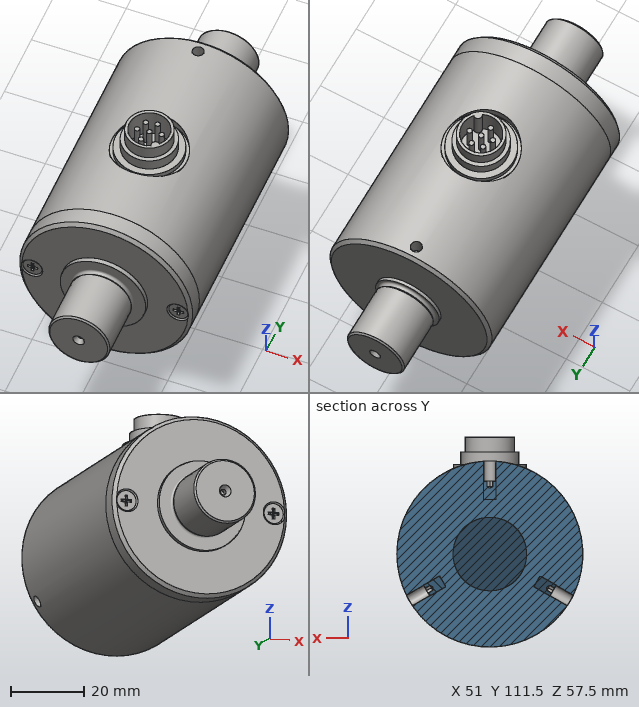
import cadquery as cq
import math


total_length = 111.5
connector_to_rear_tip = 59.1
journal_length = 16.5
undercut_length = 1.5
rear_collar_length = 1.0
front_collar_length = 1.4
cover_thickness = 6.0

rear_tip_y = connector_to_rear_tip
front_tip_y = rear_tip_y - total_length
shoulder_from_tip = journal_length + undercut_length
rear_shoulder_y = rear_tip_y - shoulder_from_tip
front_shoulder_y = front_tip_y + shoulder_from_tip
housing_rear_y = rear_shoulder_y - rear_collar_length
cover_front_y = front_shoulder_y + front_collar_length
seam_y = cover_front_y + cover_thickness

body_diameter = 51.0
body_radius = body_diameter / 2
body_chamfer = 1.0

journal_radius = 18.0 / 2
rear_collar_radius = 20.0 / 2
front_collar_radius = 25.2 / 2
neck_radius = 17.4 / 2
undercut_fillet = 0.6
undercut_taper_length = 0.4
tip_chamfer = 0.5

centre_mouth_diameter = 3.35
centre_pilot_diameter = 1.6
centre_pilot_depth = 3.2
centre_cone_angle = 60.0
drill_point_angle = 120.0

connector_top_z = 32.0
collar_top_z = 28.0
flange_top_z = 24.6
seat_z = 23.0
spigot_bottom_z = 20.0
seat_diameter = 22.0
flange_diameter = 20.0
collar_diameter = 16.0
spigot_diameter = 15.0
mouth_diameter = 13.6
socket_diameter = 11.8
socket_depth = 8.6
key_diameter = 2.39
key_angle = -52.0

pin_diameter = 1.5
pin_circle_radius = 3.5
pin_recess = 1.0
pin_angles_from_key = (57, 123, 180, 237, 303)

screw_offset = 21.5
screw_head_diameter = 5.6
screw_diameter = 3.0
screw_length = 12.0
screw_clearance_diameter = 3.4
screw_mouth_diameter = 6.4
countersink_angle = 90.0
screw_recess = (screw_mouth_diameter - screw_head_diameter) / 2
cross_length = 3.0
cross_width = 0.7
cross_depth = 1.2
cross_core_diameter = 1.2
cross_core_depth = 1.8

set_screw_count = 3
set_screw_y = housing_rear_y - 4.0
set_screw_diameter = 3.24
set_screw_top_radius = 20.0
set_screw_length = 5.0
hex_across_flats = 1.5
hex_depth = 1.5
set_screw_tip_radius = set_screw_top_radius - set_screw_length


def cylinder_y(radius, y_from, y_to):
    """Cylinder on the shaft axis, from y_from rearwards to y_to."""
    base = cq.Workplane("XZ", origin=(0, y_from, 0))
    return base.circle(radius).extrude(y_from - y_to)


def cylinder_z(diameter, z_from, z_to):
    """Upright cylinder on the connector axis."""
    return cq.Workplane("XY", origin=(0, 0, z_from)).circle(diameter / 2).extrude(z_to - z_from)


def cone_height(large_diameter, small_diameter, full_angle):
    return (large_diameter - small_diameter) / 2 / math.tan(math.radians(full_angle / 2))


def revolve_about_y(profile):
    """Turns a closed (radius, y) profile about the shaft axis."""
    return profile.close().revolve(360, (0, 0, 0), (0, 1, 0))


def around_housing(body, index):
    """Moves a body on top of the housing to its place among the set screws."""
    return body.rotate((0, 0, 0), (0, 1, 0), index * 360 / set_screw_count)


def at_cover_screws(body):
    """Two copies of a body, one at each cover screw position."""
    return [body.translate((side * screw_offset, 0, 0)) for side in (-1, 1)]


def shaft_end(tip_y, inward, inner_y):
    """Journal, undercut and centre hole of one end; inward is the direction (+1 or -1) into the shaft."""
    shoulder_y = tip_y + inward * shoulder_from_tip
    taper_start_y = tip_y + inward * journal_length
    taper_end_y = taper_start_y + inward * undercut_taper_length
    fillet_start_y = shoulder_y - inward * undercut_fillet
    arc_offset = undercut_fillet * math.sin(math.pi / 4)
    fillet_end_radius = neck_radius + undercut_fillet
    arc_middle = (fillet_end_radius - arc_offset, fillet_start_y + inward * arc_offset)
    end = revolve_about_y(
        cq.Workplane("XY")
        .moveTo(0, tip_y)
        .lineTo(journal_radius - tip_chamfer, tip_y)
        .lineTo(journal_radius, tip_y + inward * tip_chamfer)
        .lineTo(journal_radius, taper_start_y)
        .lineTo(neck_radius, taper_end_y)
        .lineTo(neck_radius, fillet_start_y)
        .threePointArc(arc_middle, (fillet_end_radius, shoulder_y))
        .lineTo(fillet_end_radius, inner_y)
        .lineTo(0, inner_y)
    )
    cone_end_y = tip_y + inward * cone_height(centre_mouth_diameter, centre_pilot_diameter, centre_cone_angle)
    pilot_end_y = tip_y + inward * centre_pilot_depth
    point_y = pilot_end_y + inward * cone_height(centre_pilot_diameter, 0, drill_point_angle)
    centre_hole = revolve_about_y(
        cq.Workplane("XY")
        .moveTo(0, tip_y)
        .lineTo(centre_mouth_diameter / 2, tip_y)
        .lineTo(centre_pilot_diameter / 2, cone_end_y)
        .lineTo(centre_pilot_diameter / 2, pilot_end_y)
        .lineTo(0, point_y)
    )
    return end.cut(centre_hole)


def make_shaft():
    front_collar = cylinder_y(front_collar_radius, front_shoulder_y, seam_y)
    middle = cylinder_y(rear_collar_radius, seam_y, rear_shoulder_y)
    front_end = shaft_end(front_tip_y, 1, seam_y)
    rear_end = shaft_end(rear_tip_y, -1, housing_rear_y)
    return front_collar.union(middle).union(front_end).union(rear_end)


screw_top_y = cover_front_y + screw_recess
screw_tip_y = screw_top_y + screw_length


def make_cover_screw():
    """Countersunk screw on the shaft axis, with a cross recess and a round core in its head."""
    head_end_y = screw_top_y + cone_height(screw_head_diameter, screw_diameter, countersink_angle)
    screw = revolve_about_y(
        cq.Workplane("XY")
        .moveTo(0, screw_top_y)
        .lineTo(screw_head_diameter / 2, screw_top_y)
        .lineTo(screw_diameter / 2, head_end_y)
        .lineTo(screw_diameter / 2, screw_tip_y)
        .lineTo(0, screw_tip_y)
    )
    head_face = cq.Workplane("XZ", origin=(0, screw_top_y, 0))
    for width, height in ((cross_length, cross_width), (cross_width, cross_length)):
        screw = screw.cut(head_face.rect(width, height).extrude(-cross_depth))
    return screw.cut(cylinder_y(cross_core_diameter / 2, screw_top_y, screw_top_y + cross_core_depth))


def make_countersunk_hole():
    """Clearance hole through the cover with a countersink."""
    sink_depth = cone_height(screw_mouth_diameter, screw_clearance_diameter, countersink_angle)
    sink_end_y = cover_front_y + sink_depth
    return revolve_about_y(
        cq.Workplane("XY")
        .moveTo(0, cover_front_y)
        .lineTo(screw_mouth_diameter / 2, cover_front_y)
        .lineTo(screw_clearance_diameter / 2, sink_end_y)
        .lineTo(screw_clearance_diameter / 2, seam_y)
        .lineTo(0, seam_y)
    )


def make_cover():
    cover = cylinder_y(body_radius, cover_front_y, seam_y).faces("<Y").chamfer(body_chamfer)
    cover = cover.cut(cylinder_y(front_collar_radius, cover_front_y, seam_y))
    for hole in at_cover_screws(make_countersunk_hole()):
        cover = cover.cut(hole)
    return cover


def make_housing():
    housing = cylinder_y(body_radius, seam_y, housing_rear_y).faces(">Y").chamfer(body_chamfer)
    housing = housing.cut(cylinder_y(rear_collar_radius, seam_y, housing_rear_y))
    housing = housing.cut(cylinder_z(seat_diameter, seat_z, body_radius))
    housing = housing.cut(cylinder_z(spigot_diameter, spigot_bottom_z, seat_z))
    for hole in at_cover_screws(cylinder_y(screw_diameter / 2, seam_y, screw_tip_y)):
        housing = housing.cut(hole)
    set_screw_hole = cylinder_z(set_screw_diameter, set_screw_tip_radius, body_radius)
    set_screw_hole = set_screw_hole.translate((0, set_screw_y, 0))
    for index in range(set_screw_count):
        housing = housing.cut(around_housing(set_screw_hole, index))
    return housing


def make_set_screw():
    """Upright set screw on top of the housing, with a hexagon socket ending in a drill point."""
    screw = cylinder_z(set_screw_diameter, set_screw_tip_radius, set_screw_top_radius)
    hex_across_corners = hex_across_flats / math.cos(math.pi / 6)
    socket_end_z = set_screw_top_radius - hex_depth
    socket = (
        cq.Workplane("XY", origin=(0, 0, socket_end_z))
        .polygon(6, hex_across_corners)
        .extrude(hex_depth)
        .rotate((0, 0, 0), (0, 0, 1), 90)
    )
    point_depth = cone_height(hex_across_flats, 0, drill_point_angle)
    point_start = cq.Vector(0, 0, socket_end_z)
    downward = cq.Vector(0, 0, -1)
    point = cq.Workplane(cq.Solid.makeCone(hex_across_flats / 2, 0, point_depth, point_start, downward))
    return screw.cut(socket).cut(point).translate((0, set_screw_y, 0))


def on_circle(radius, angle):
    return (radius * math.cos(math.radians(angle)), radius * math.sin(math.radians(angle)))


def make_connector():
    connector = cylinder_z(spigot_diameter, spigot_bottom_z, seat_z)
    connector = connector.union(cylinder_z(flange_diameter, seat_z, flange_top_z))
    connector = connector.union(cylinder_z(collar_diameter, flange_top_z, collar_top_z))
    connector = connector.union(cylinder_z(mouth_diameter, collar_top_z, connector_top_z))

    socket_floor_z = connector_top_z - socket_depth
    socket = cylinder_z(socket_diameter, socket_floor_z, connector_top_z)
    floor = cq.Workplane("XY", origin=(0, 0, socket_floor_z))
    key_place = on_circle(socket_diameter / 2, key_angle)
    key = floor.pushPoints([key_place]).circle(key_diameter / 2).extrude(socket_depth)
    connector = connector.cut(socket.cut(key))

    pin_places = [on_circle(pin_circle_radius, key_angle + angle) for angle in pin_angles_from_key]
    pin_places.append((0, 0))
    pins = floor.pushPoints(pin_places).circle(pin_diameter / 2).extrude(socket_depth - pin_recess)
    return connector.union(pins)


housing = make_housing()
cover = make_cover()
shaft = make_shaft()
connector = make_connector()
cover_screws = at_cover_screws(make_cover_screw())
set_screws = [around_housing(make_set_screw(), index) for index in range(set_screw_count)]

result = cq.Compound.makeCompound(
    [
        housing.val(),
        cover.val(),
        shaft.val(),
        connector.val(),
        *[screw.val() for screw in cover_screws],
        *[screw.val() for screw in set_screws],
    ]
)